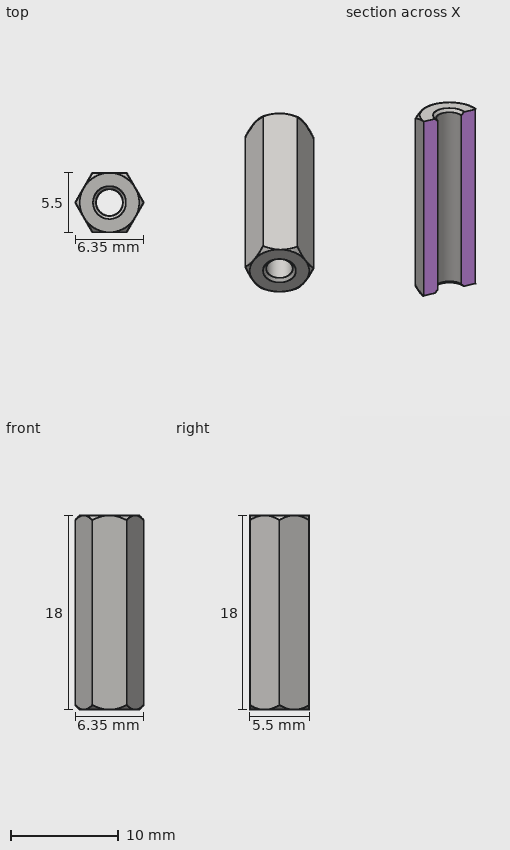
import cadquery as cq
import math

length = 18.0
across_flats = 5.5
across_corners = across_flats / math.cos(math.pi / 6)
bore_diameter = 2.47
countersink_diameter = 3.06
countersink_depth = (countersink_diameter - bore_diameter) / 2
corner_chamfer = (across_corners - across_flats) / 2


def hexagonal_bar():
    """Hexagonal prism centred on the origin, with two corners on the X axis."""
    return cq.Workplane("XY").polygon(6, across_corners).extrude(length / 2, both=True)


def corner_envelope():
    """Chamfered cylinder that bevels the hexagon corners at both ends."""
    cylinder = cq.Workplane("XY").circle(across_corners / 2).extrude(length / 2, both=True)
    return cylinder.faces("|Z").edges().chamfer(corner_chamfer)


def countersunk_bore():
    """Solid of the through bore with a conical countersink at each end."""
    bore_radius = bore_diameter / 2
    countersink_radius = countersink_diameter / 2
    cone_start = length / 2 - countersink_depth
    return (
        cq.Workplane("XZ")
        .moveTo(0, -length / 2)
        .lineTo(countersink_radius, -length / 2)
        .lineTo(bore_radius, -cone_start)
        .lineTo(bore_radius, cone_start)
        .lineTo(countersink_radius, length / 2)
        .lineTo(0, length / 2)
        .close()
        .revolve(360, (0, 0, 0), (0, 1, 0))
    )


result = hexagonal_bar().intersect(corner_envelope()).cut(countersunk_bore())